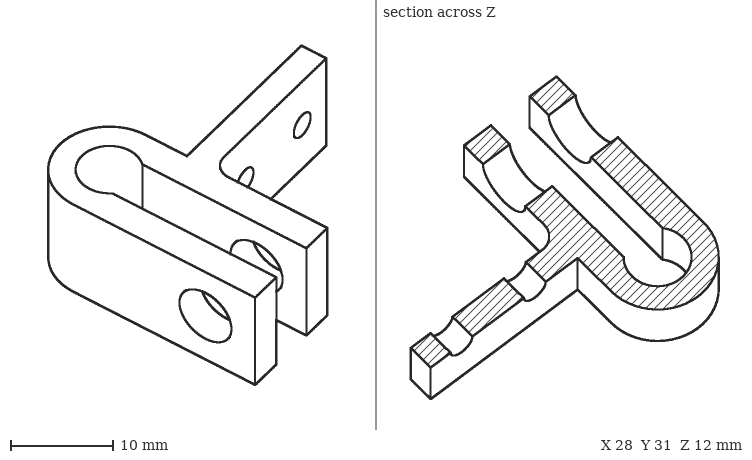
import cadquery as cq

length = 28.0
depth = 31.0
height = 12.0

clamp_width = 12.0
bend_radius = clamp_width / 2
bore_diameter = 6.6
slot_width = 5.0

arm_left = 11.0
arm_thickness = 3.0
arm_fillet = 2.0

bolt_hole_diameter = 6.3
bolt_hole_from_leg_end = 6.0
screw_hole_diameter = 2.8
screw_hole_from_arm_end = 4.0
screw_hole_spacing = 9.5

mid_height = height / 2
arm_right = arm_left + arm_thickness


def make_body():
    """Outer clamp outline with its arm, extruded to the full height."""
    return (
        cq.Workplane("XY")
        .moveTo(bend_radius, 0)
        .lineTo(length, 0)
        .lineTo(length, clamp_width)
        .lineTo(arm_right + arm_fillet, clamp_width)
        .radiusArc((arm_right, clamp_width + arm_fillet), arm_fillet)
        .lineTo(arm_right, depth)
        .lineTo(arm_left, depth)
        .lineTo(arm_left, clamp_width)
        .lineTo(bend_radius, clamp_width)
        .threePointArc((0, bend_radius), (bend_radius, 0))
        .close()
        .extrude(height)
    )


def make_clamp_opening():
    """Round bore in the bend and the slot that opens it between the legs."""
    bore = cq.Workplane("XY").center(bend_radius, bend_radius).circle(bore_diameter / 2).extrude(height)
    slot_length = length - bend_radius
    slot = (
        cq.Workplane("XY")
        .center(bend_radius + slot_length / 2, bend_radius)
        .rect(slot_length, slot_width)
        .extrude(height)
    )
    return bore.union(slot)


def make_bolt_hole():
    """Hole along Y through both legs."""
    return (
        cq.Workplane("XZ")
        .center(length - bolt_hole_from_leg_end, mid_height)
        .circle(bolt_hole_diameter / 2)
        .extrude(-clamp_width)
    )


def make_screw_holes():
    """Two holes along X through the arm."""
    outer_y = depth - screw_hole_from_arm_end
    centers = [(outer_y - i * screw_hole_spacing, mid_height) for i in range(2)]
    return (
        cq.Workplane("YZ", origin=(arm_left, 0, 0))
        .pushPoints(centers)
        .circle(screw_hole_diameter / 2)
        .extrude(arm_thickness)
    )


result = (
    make_body()
    .cut(make_clamp_opening())
    .cut(make_bolt_hole())
    .cut(make_screw_holes())
)